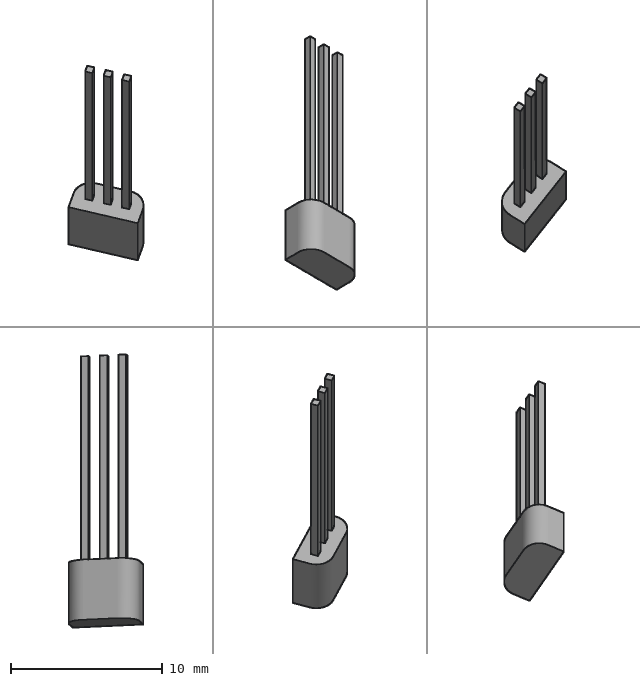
import cadquery as cq

body_width = 4.77
body_depth = 2.41
body_height = 4.06
corner_radius = body_depth / 2

total_height = 17.98
lead_count = 3
lead_pitch = 1.27
lead_side = 0.5
lead_length = total_height - body_height


def make_body():
    """Block standing on Z = 0, rounded along its two rear vertical edges."""
    block = cq.Workplane("XY").box(body_width, body_depth, body_height, centered=(True, True, False))
    return block.edges("|Z and >Y").fillet(corner_radius)


def make_lead(x_position):
    """One square lead on the body's top face, in the middle of its depth."""
    return (
        cq.Workplane("XY", origin=(x_position, 0, body_height))
        .rect(lead_side, lead_side)
        .extrude(lead_length)
    )


result = make_body()
for index in range(lead_count):
    lead_offset = (index - (lead_count - 1) / 2) * lead_pitch
    result = result.union(make_lead(lead_offset))